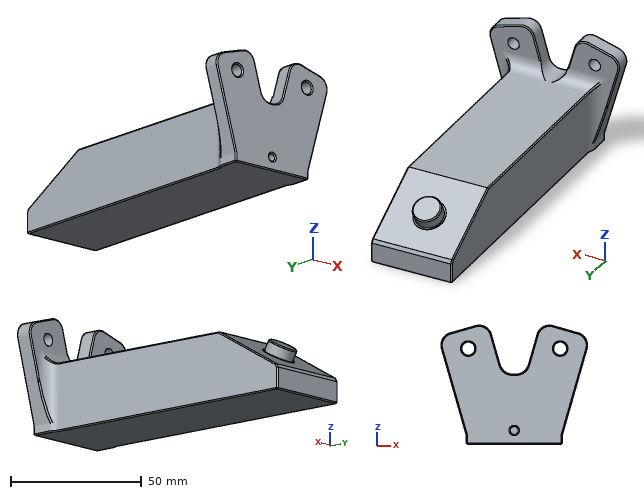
import cadquery as cq
import math

LENGTH = 124.3
BODY_WIDTH = 35.0
BODY_HEIGHT = 27.0
NOSE_HEIGHT = 9.6
SLOPE_ANGLE = 30.0
NOSE_BREAK = 1.0
EDGE_BREAK = 0.5

PLATE_THICKNESS = 7.0
FOOT_WIDTH = 36.9
FOOT_HEIGHT = 3.5
ARM_ANGLE = 16.0
ARM_LENGTH = 39.5
ARM_WIDTH = 20.0
CORNER_RADIUS = 5.0
COVE_RADIUS = 5.3

ARM_HOLE_X = 17.7
ARM_HOLE_Z = 36.8
ARM_HOLE_DIAMETER = 5.0
CENTRE_HOLE_Z = 5.3
CENTRE_HOLE_DIAMETER = 3.0
CENTRE_HOLE_DEPTH = 10.0

PIN_DIAMETER = 11.7
PIN_HEIGHT = 4.6
PIN_DISTANCE = 17.2
RECESS_DIAMETER = 13.2
RECESS_DEPTH = 0.2

SELECT_MARGIN = 0.01

SLOPE_RUN = (BODY_HEIGHT - NOSE_HEIGHT) / math.tan(math.radians(SLOPE_ANGLE))
LEAN_SIN = math.sin(math.radians(ARM_ANGLE))
LEAN_COS = math.cos(math.radians(ARM_ANGLE))
SLOPE_SIN = math.sin(math.radians(SLOPE_ANGLE))
SLOPE_COS = math.cos(math.radians(SLOPE_ANGLE))

FOOT_COVE_END = (FOOT_WIDTH / 2, PLATE_THICKNESS + COVE_RADIUS / 2, FOOT_HEIGHT / 2)
FLANK_COVE_END = (BODY_WIDTH / 2 + COVE_RADIUS / 2, PLATE_THICKNESS, BODY_HEIGHT / 2)


def nearest_to(x, y, z):
    return cq.selectors.NearestToPointSelector((x, y, z))


def make_body():
    """Sharp-edged block, except for the low end of the slope; its near end lies inside the plate."""
    side_outline = [
        (0, 0),
        (LENGTH, 0),
        (LENGTH, NOSE_HEIGHT),
        (LENGTH - SLOPE_RUN, BODY_HEIGHT),
        (0, BODY_HEIGHT),
    ]
    block = cq.Workplane("YZ").polyline(side_outline).close().extrude(BODY_WIDTH / 2, both=True)
    return block.edges(nearest_to(0, LENGTH, NOSE_HEIGHT)).chamfer(NOSE_BREAK)


def make_plate_prism(depth):
    """Plate outline, with round arm tips and notch corners, extruded from Y = 0."""
    foot = FOOT_WIDTH / 2
    outer = (foot + ARM_LENGTH * LEAN_SIN, FOOT_HEIGHT + ARM_LENGTH * LEAN_COS)
    inner = (outer[0] - ARM_WIDTH * LEAN_COS, outer[1] + ARM_WIDTH * LEAN_SIN)
    notch = (inner[0] - (inner[1] - BODY_HEIGHT) * LEAN_SIN / LEAN_COS, BODY_HEIGHT)
    right = [(foot, 0), (foot, FOOT_HEIGHT), outer, inner, notch]
    left = [(-x, z) for x, z in reversed(right)]
    prism = cq.Workplane("XZ").polyline(right + left).close().extrude(-depth)
    for x, z in (outer, inner, notch):
        for side in (-1, 1):
            corner = nearest_to(side * x, depth / 2, z)
            prism = prism.edges("|Y").edges(corner).fillet(CORNER_RADIUS)
    return prism


def make_coved_root(body):
    """Near end of the body, flaring in a cove into the plate and trimmed to its outline."""
    slab_size = 3 * FOOT_WIDTH
    slab = cq.Workplane("XY").box(slab_size, PLATE_THICKNESS, slab_size, centered=(True, False, False))
    junction = cq.selectors.BoxSelector(
        (-BODY_WIDTH, PLATE_THICKNESS - SELECT_MARGIN, -SELECT_MARGIN),
        (BODY_WIDTH, PLATE_THICKNESS + SELECT_MARGIN, BODY_HEIGHT + SELECT_MARGIN),
    )
    flared = body.union(slab).edges(junction).fillet(COVE_RADIUS)
    root_depth = PLATE_THICKNESS + COVE_RADIUS
    reach = cq.Workplane("XY").box(
        BODY_WIDTH + 2 * COVE_RADIUS,
        root_depth,
        BODY_HEIGHT + COVE_RADIUS,
        centered=(True, False, False),
    )
    return flared.intersect(make_plate_prism(root_depth)).intersect(reach)


def break_outer_edges(part):
    """Chamfer the body sides, the trimmed ends of the cove, the front face and the underside."""
    sides = part.newObject([])
    cove_ends = part.newObject([])
    for side in (-1, 1):
        sides = sides.add(part.faces(nearest_to(side * BODY_WIDTH / 2, LENGTH / 2, BODY_HEIGHT / 2)))
        for x, y, z in (FOOT_COVE_END, FLANK_COVE_END):
            cove_ends = cove_ends.add(part.edges(nearest_to(side * x, y, z)))
    side_edges = sides.edges("not (<Y or <Z)")
    part = side_edges.add(cove_ends).chamfer(EDGE_BREAK)
    return part.faces("<Y or <Z").edges().chamfer(EDGE_BREAK)


def drill(part, x, z, diameter, depth):
    """Round hole into the front face of the plate."""
    drill_bit = cq.Workplane("XZ").center(x, z).circle(diameter / 2).extrude(-depth)
    return part.cut(drill_bit)


def add_pin(part):
    """Pin square to the slope, with a chamfered tip, in a shallow recess."""
    axis_y = LENGTH - PIN_DISTANCE * SLOPE_COS
    axis_z = NOSE_HEIGHT + PIN_DISTANCE * SLOPE_SIN
    slope_plane = cq.Plane(
        origin=(0, axis_y, axis_z),
        xDir=(1, 0, 0),
        normal=(0, SLOPE_SIN, SLOPE_COS),
    )
    recess = cq.Workplane(slope_plane).circle(RECESS_DIAMETER / 2).extrude(-RECESS_DEPTH)
    pin = (
        cq.Workplane(slope_plane)
        .workplane(offset=-RECESS_DEPTH)
        .circle(PIN_DIAMETER / 2)
        .extrude(PIN_HEIGHT + RECESS_DEPTH)
        .faces(cq.selectors.DirectionMinMaxSelector(slope_plane.zDir, True))
        .chamfer(EDGE_BREAK)
    )
    return part.cut(recess).union(pin)


body = make_body()
plate = make_plate_prism(PLATE_THICKNESS).faces(">Y").edges().chamfer(EDGE_BREAK)
result = body.union(make_coved_root(body)).union(plate)
for hole_x in (-ARM_HOLE_X, ARM_HOLE_X):
    result = drill(result, hole_x, ARM_HOLE_Z, ARM_HOLE_DIAMETER, PLATE_THICKNESS)
result = drill(result, 0, CENTRE_HOLE_Z, CENTRE_HOLE_DIAMETER, CENTRE_HOLE_DEPTH)
result = break_outer_edges(result)
result = add_pin(result)